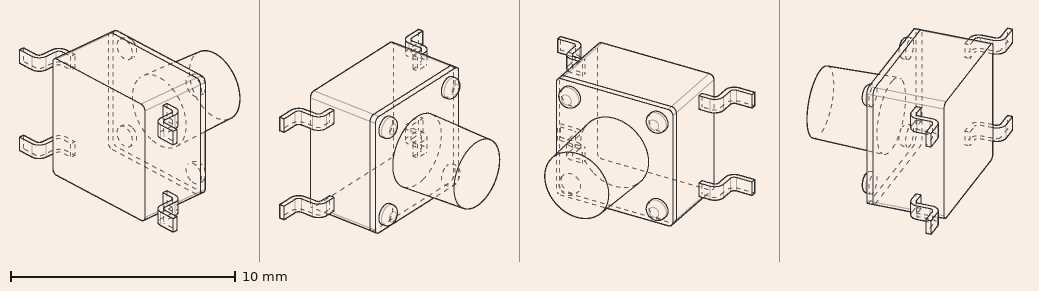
import cadquery as cq

total_width = 10.0
total_depth = 7.26
body_size = 6.0
corner_radius = 0.25
housing_depth = 3.4
cover_thickness = 0.3
cover_face = housing_depth + cover_thickness

boss_diameter = 1.0
boss_height = 0.4
boss_fillet = 0.25
corner_offset = 2.25

lead_width = 0.7
lead_thickness = 0.25
lead_height = 1.51
lead_drop = 0.16
lead_riser = 1.0
inner_bend = 0.2
outer_bend = inner_bend + lead_thickness

button_base_diameter = 3.5
button_tip_diameter = 3.3
button_length = total_depth - lead_drop - cover_face


def xz_plane(y):
    """Plane at height y whose normal points to +Y."""
    return cq.Plane(origin=(0, y, 0), xDir=(-1, 0, 0), normal=(0, 1, 0))


def rounded_block(y_start, depth):
    """Square block with four rounded edges along Y."""
    block = cq.Workplane(xz_plane(y_start)).rect(body_size, body_size).extrude(depth)
    return block.edges("|Y").fillet(corner_radius)


def make_housing():
    return rounded_block(0, housing_depth)


def make_cover():
    """Cover plate with a rounded boss near each corner."""
    bosses = (
        cq.Workplane(xz_plane(cover_face))
        .rect(2 * corner_offset, 2 * corner_offset, forConstruction=True)
        .vertices()
        .circle(boss_diameter / 2)
        .extrude(boss_height)
        .faces(">Y")
        .edges()
        .fillet(boss_fillet)
    )
    return rounded_block(housing_depth, cover_thickness).union(bosses)


def make_button():
    """Cone frustum standing on the cover."""
    return (
        cq.Workplane(xz_plane(cover_face))
        .circle(button_base_diameter / 2)
        .workplane(offset=button_length)
        .circle(button_tip_diameter / 2)
        .loft()
    )


def make_left_lead(z_center):
    """Z-shaped strip from the foot tip to the -X side of the housing."""
    tip = -total_width / 2
    wall = -body_size / 2
    riser_outer = tip + lead_riser
    riser_inner = riser_outer + lead_thickness
    foot_bottom = -lead_drop
    foot_top = foot_bottom + lead_thickness
    arm_top = foot_bottom + lead_height
    arm_bottom = arm_top - lead_thickness
    foot_end = riser_inner - outer_bend
    arm_start = riser_outer + outer_bend
    return (
        cq.Workplane("XY", origin=(0, 0, z_center - lead_width / 2))
        .moveTo(tip, foot_bottom)
        .lineTo(foot_end, foot_bottom)
        .radiusArc((riser_inner, foot_bottom + outer_bend), -outer_bend)
        .lineTo(riser_inner, arm_bottom - inner_bend)
        .radiusArc((arm_start, arm_bottom), inner_bend)
        .lineTo(wall, arm_bottom)
        .lineTo(wall, arm_top)
        .lineTo(arm_start, arm_top)
        .radiusArc((riser_outer, arm_top - outer_bend), -outer_bend)
        .lineTo(riser_outer, foot_top + inner_bend)
        .radiusArc((foot_end, foot_top), inner_bend)
        .lineTo(tip, foot_top)
        .close()
        .extrude(lead_width)
    )


housing = make_housing()
cover = make_cover()
button = make_button()

leads = []
for lead_z in (-corner_offset, corner_offset):
    left_lead = make_left_lead(lead_z)
    leads.append(left_lead.val())
    leads.append(left_lead.mirror("YZ").val())

result = cq.Compound.makeCompound([housing.val(), cover.val(), button.val(), *leads])